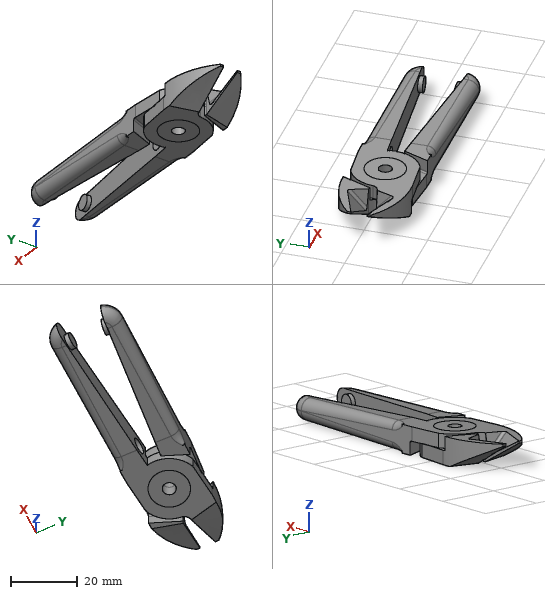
import cadquery as cq
import math


thickness = 9.0
half_thickness = thickness / 2
hub_radius = 10.5
head_half_width = 10.75
waist_x = 3.9
waist_y = math.sqrt(hub_radius**2 - waist_x**2)
jaw_flank_x = -7.2
handle_flank_x = 7.2

slot_half_width = 11.5
slot_tilt = 21.8
slot_corner_radius = 0.5
slot_length = 60.0

pivot_radius = 6.4
pivot_bore_radius = 2.1

tip_x = -26.9
tip_outer_y = 3.75
tip_inner_y = 2.55
tip_height = 0.7
jaw_belly = (-18.0, 9.15)
throat_x = -12.67
throat_y = 1.35
throat_mid = (-11.45, -0.85)
throat_hub_y = 0.65
bevel_inner_end_x = -13.0
bevel_outer_end_x = -10.2
bevel_outer_y = 11.0
bevel_margin = 1.0
recess_apex = (-14.8, -7.45, half_thickness)
recess_foot = (-14.25, -1.4, -2.3)
recess_corner_radius = 1.0
recess_stretch = 1.5

handle_start_x = 16.28
handle_end_x = 57.7
handle_outer_end_y = 11.78
handle_end_half_height = 3.55
ridge_y = 8.31
inner_slope = 0.0905
crotch_y = 2.5
crotch_x = math.sqrt(hub_radius**2 - crotch_y**2)
end_cap_center_y = 5.66
runout_start_x = 11.0
runout_steps = 6
runout_margin = 0.2

button_x = 56.6
button_radius = 2.55
button_height = 1.5
button_embed = 0.5

socket_x = 15.0
socket_radius = 2.6
socket_depth = 4.0

trim_reach = 70.0


def inner_face_y(x):
    """Y of the handle's flat inner face."""
    return crotch_y + inner_slope * (x - crotch_x)


def outer_face_y(x):
    """Y of the handle's outermost line, from the head flank to the end cap."""
    slope = (handle_outer_end_y - head_half_width) / (handle_end_x - handle_flank_x)
    return head_half_width + slope * (x - handle_flank_x)


def head_blank():
    """Head in plan: lower jaw, round hub and root of the upper handle, full thickness."""
    throat_end = (-math.sqrt(hub_radius**2 - throat_hub_y**2), throat_hub_y)
    hub_diagonal = hub_radius * math.sqrt(0.5)
    return (
        cq.Workplane("XY")
        .workplane(offset=-half_thickness)
        .moveTo(tip_x, -tip_outer_y)
        .threePointArc((jaw_belly[0], -jaw_belly[1]), (jaw_flank_x, -head_half_width))
        .lineTo(waist_x, -waist_y)
        .threePointArc((hub_diagonal, -hub_diagonal), (crotch_x, crotch_y))
        .lineTo(handle_start_x, inner_face_y(handle_start_x))
        .lineTo(handle_start_x, outer_face_y(handle_start_x))
        .lineTo(handle_flank_x, head_half_width)
        .lineTo(-waist_x, waist_y)
        .threePointArc((-hub_diagonal, hub_diagonal), throat_end)
        .threePointArc(throat_mid, (throat_x, -throat_y))
        .lineTo(tip_x, -tip_inner_y)
        .close()
        .extrude(thickness)
    )


def runout_cutter():
    """Sharp corner minus a round whose radius grows along the upper handle root."""
    full_radius = outer_face_y(handle_start_x) - ridge_y
    length = handle_start_x - runout_start_x
    sections = []
    for step in range(1, runout_steps + 1):
        x = runout_start_x + length * step / runout_steps
        remaining = 1 - step / runout_steps
        radius = full_radius * (1 - remaining**2)
        corner_y = outer_face_y(x)
        arc_inset = radius * (1 - math.sqrt(0.5))
        sections.append(
            cq.Workplane("YZ", origin=(x, 0, 0))
            .moveTo(corner_y + runout_margin, half_thickness)
            .lineTo(corner_y - radius, half_thickness)
            .threePointArc(
                (corner_y - arc_inset, half_thickness - arc_inset),
                (corner_y, half_thickness - radius),
            )
            .lineTo(corner_y + runout_margin, half_thickness - radius)
            .close()
            .wires()
            .val()
        )
    return cq.Workplane(cq.Solid.makeLoft(sections))


def handle_section(x, half_height, inner_y):
    """Handle cross-section: flat top and bottom, rounded at the back."""
    back_y = outer_face_y(x)
    radius = back_y - ridge_y
    flat = half_height - radius
    inset = radius * (1 - math.sqrt(0.5))
    return (
        cq.Workplane("YZ", origin=(x, 0, 0))
        .moveTo(inner_y, half_height)
        .lineTo(ridge_y, half_height)
        .threePointArc((back_y - inset, half_height - inset), (back_y, flat))
        .lineTo(back_y, -flat)
        .threePointArc((back_y - inset, inset - half_height), (ridge_y, -half_height))
        .lineTo(inner_y, -half_height)
        .close()
    )


def handle_blank():
    """Upper handle with its rounded end, trimmed to the slanting inner face."""
    root = handle_section(handle_start_x, half_thickness, 0)
    end = handle_section(handle_end_x, handle_end_half_height, 0)
    grip = cq.Workplane(cq.Solid.makeLoft([root.wires().val(), end.wires().val()], True))
    end_cap = handle_section(handle_end_x, handle_end_half_height, end_cap_center_y).revolve(
        90, (end_cap_center_y, 0, 0), (end_cap_center_y, -1, 0)
    )
    inside = (
        cq.Workplane("XY")
        .workplane(offset=-thickness)
        .moveTo(0, inner_face_y(0))
        .lineTo(trim_reach, inner_face_y(trim_reach))
        .lineTo(trim_reach, -trim_reach)
        .lineTo(0, -trim_reach)
        .close()
        .extrude(2 * thickness)
    )
    return grip.union(end_cap).cut(inside)


def inner_face_cylinder(x, radius, depth, height):
    """Cylinder square to the handle's inner face, from depth below it to height above it."""
    face_normal = cq.Vector(inner_slope, -1, 0).normalized()
    face_center = cq.Vector(x, inner_face_y(x), 0)
    base = face_center - face_normal * depth
    return cq.Workplane(cq.Solid.makeCylinder(radius, depth + height, base, face_normal))


def joint_slot():
    """Tilted slot through the lower half of the head that receives the other half's hub."""
    return (
        cq.Workplane("XY")
        .box(2 * slot_half_width, slot_length, thickness, centered=(True, True, False))
        .edges("|Y and >Z")
        .fillet(slot_corner_radius)
        .translate((0, 0, -thickness))
        .rotate((0, 0, 0), (0, 0, 1), slot_tilt)
    )


def bevel_section(y, end_x):
    """Triangle below the jaw, from the thin tip to the underside at end_x."""
    tip_z = half_thickness - tip_height
    slope = (tip_z + half_thickness) / (end_x - tip_x)
    overshoot = slope * bevel_margin
    return (
        cq.Workplane("XZ", origin=(0, y, 0))
        .moveTo(tip_x - bevel_margin, tip_z + overshoot)
        .lineTo(end_x + bevel_margin, -half_thickness - overshoot)
        .lineTo(tip_x - bevel_margin, -half_thickness - overshoot)
        .close()
        .wires()
        .val()
    )


def jaw_bevel():
    """Twisted bevel that thins the underside of the lower jaw towards its tip."""
    inner = bevel_section(0, bevel_inner_end_x)
    outer = bevel_section(-bevel_outer_y, bevel_outer_end_x)
    return cq.Workplane(cq.Solid.makeLoft([inner, outer], True))


def jaw_recess():
    """V-shaped relief behind the cutting edge of the lower jaw, with a rounded root."""
    apex = cq.Vector(*recess_apex)
    root_direction = cq.Vector(*recess_foot) - apex
    plane = cq.Plane(apex, (1, 0, 0), root_direction)
    tip = plane.toLocalCoords(cq.Vector(tip_x, -tip_inner_y, half_thickness))
    throat = plane.toLocalCoords(cq.Vector(throat_x, -throat_y, half_thickness))
    root_length = root_direction.Length
    return (
        cq.Workplane(plane)
        .workplane(offset=-root_length)
        .polyline([
            (0, 0),
            (tip.x * recess_stretch, tip.y * recess_stretch),
            (throat.x * recess_stretch, throat.y * recess_stretch),
        ])
        .close()
        .extrude(3 * root_length)
        .edges(cq.selectors.NearestToPointSelector(recess_foot))
        .fillet(recess_corner_radius)
    )


def plier_half_blank():
    """Half with the lower jaw and upper handle, its hub in the upper half of the thickness."""
    runout = runout_cutter()
    stop_button = inner_face_cylinder(button_x, button_radius, button_embed, button_height)
    spring_socket = inner_face_cylinder(socket_x, socket_radius, socket_depth, socket_radius)
    pivot_hole = cq.Workplane("XY").circle(pivot_radius).extrude(half_thickness, both=True)
    return (
        head_blank()
        .cut(runout)
        .cut(runout.mirror("XY"))
        .union(handle_blank())
        .union(stop_button)
        .cut(spring_socket)
        .cut(joint_slot())
        .cut(pivot_hole)
    )


def pivot_bush():
    """Pivot bush, flush with both faces of the head."""
    return (
        cq.Workplane("XY")
        .circle(pivot_radius)
        .circle(pivot_bore_radius)
        .extrude(half_thickness, both=True)
    )


blank = plier_half_blank()
jaw_cuts = jaw_bevel().union(jaw_recess())

upper_hub_half = blank.cut(jaw_cuts)
lower_hub_half = blank.rotate((0, 0, 0), (1, 0, 0), 180).cut(jaw_cuts.mirror("XZ"))
pivot = pivot_bush()

result = cq.Compound.makeCompound([
    *upper_hub_half.solids().vals(),
    *lower_hub_half.solids().vals(),
    *pivot.vals(),
])